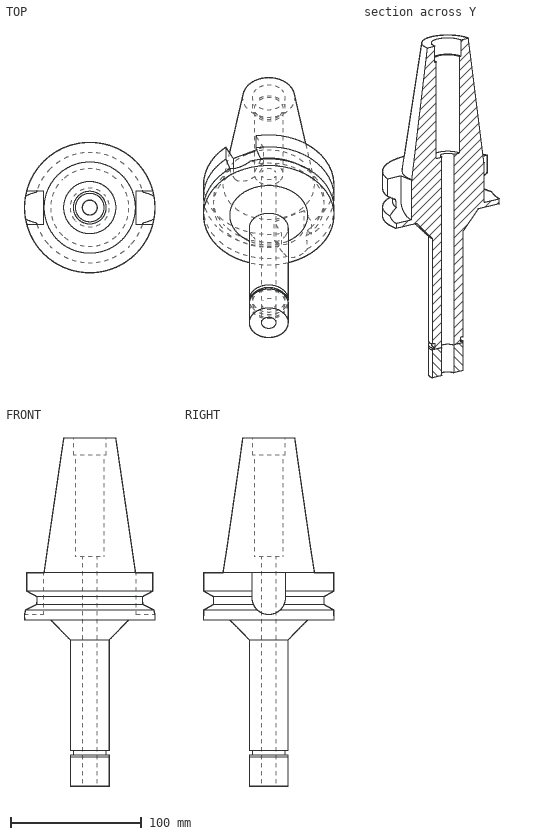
import cadquery as cq

TOTAL_HEIGHT = 266.8
TAPER_BASE_Z = 165.0
TAPER_TOP_RADIUS = 20.0
TAPER_BASE_RADIUS = 35.0

FLANGE_RADIUS = 50.02
FLANGE_TOP_Z = 163.5
FLANGE_BOTTOM_Z = 127.3
GRIPPER_GROOVE_RADIUS = 42.5
GRIPPER_GROOVE_MOUTH_TOP_Z = 149.5
GRIPPER_GROOVE_MOUTH_BOTTOM_Z = 135.0
GRIPPER_GROOVE_BEVEL_HEIGHT = 4.3

SLOT_WIDTH = 25.5
SLOT_FLOOR_X = 35.5
SLOT_BOTTOM_Z = 131.5

SHANK_RADIUS = 15.0
CONE_TOP_RADIUS = 30.0
CONE_BOTTOM_Z = 112.0
NECK_RADIUS = 12.5
NECK_TOP_Z = 27.2
NECK_BOTTOM_Z = 24.0

NUT_HEIGHT = 22.5
NUT_RADIUS = SHANK_RADIUS

COUNTERBORE_RADIUS = 12.5
COUNTERBORE_DEPTH = 13.0
THREAD_BORE_RADIUS = 11.0
THREAD_BORE_DEPTH = 90.7
THROUGH_BORE_RADIUS = 5.5


def make_holder_blank():
    """Revolve the solid outline of taper, flange, cone and shank."""
    outline = [
        (0, NUT_HEIGHT),
        (SHANK_RADIUS, NUT_HEIGHT),
        (SHANK_RADIUS, NECK_BOTTOM_Z),
        (NECK_RADIUS, NECK_BOTTOM_Z),
        (NECK_RADIUS, NECK_TOP_Z),
        (SHANK_RADIUS, NECK_TOP_Z),
        (SHANK_RADIUS, CONE_BOTTOM_Z),
        (CONE_TOP_RADIUS, FLANGE_BOTTOM_Z),
        (FLANGE_RADIUS, FLANGE_BOTTOM_Z),
        (FLANGE_RADIUS, GRIPPER_GROOVE_MOUTH_BOTTOM_Z),
        (GRIPPER_GROOVE_RADIUS, GRIPPER_GROOVE_MOUTH_BOTTOM_Z + GRIPPER_GROOVE_BEVEL_HEIGHT),
        (GRIPPER_GROOVE_RADIUS, GRIPPER_GROOVE_MOUTH_TOP_Z - GRIPPER_GROOVE_BEVEL_HEIGHT),
        (FLANGE_RADIUS, GRIPPER_GROOVE_MOUTH_TOP_Z),
        (FLANGE_RADIUS, FLANGE_TOP_Z),
        (TAPER_BASE_RADIUS, FLANGE_TOP_Z),
        (TAPER_BASE_RADIUS, TAPER_BASE_Z),
        (TAPER_TOP_RADIUS, TOTAL_HEIGHT),
        (0, TOTAL_HEIGHT),
    ]
    return cq.Workplane("XZ").polyline(outline).close().revolve(360, (0, 0), (0, 1))


def make_drive_slot(side):
    """Round-bottomed slot cutter; side is +1 or -1 along X."""
    half_width = SLOT_WIDTH / 2
    arc_center_z = SLOT_BOTTOM_Z + half_width
    return (
        cq.Workplane("YZ", origin=(side * SLOT_FLOOR_X, 0, 0))
        .moveTo(-half_width, FLANGE_TOP_Z)
        .lineTo(-half_width, arc_center_z)
        .threePointArc((0, SLOT_BOTTOM_Z), (half_width, arc_center_z))
        .lineTo(half_width, FLANGE_TOP_Z)
        .close()
        .extrude(side * FLANGE_RADIUS)
    )


def make_bore(radius, bottom_z):
    """Axial bore cutter from the top of the taper down to bottom_z."""
    return cq.Workplane("XY", origin=(0, 0, bottom_z)).circle(radius).extrude(TOTAL_HEIGHT - bottom_z)


def make_holder():
    holder = make_holder_blank()
    for side in (-1, 1):
        holder = holder.cut(make_drive_slot(side))
    holder = holder.cut(make_bore(COUNTERBORE_RADIUS, TOTAL_HEIGHT - COUNTERBORE_DEPTH))
    holder = holder.cut(make_bore(THREAD_BORE_RADIUS, TOTAL_HEIGHT - THREAD_BORE_DEPTH))
    return holder.cut(make_bore(THROUGH_BORE_RADIUS, NUT_HEIGHT))


def make_nut():
    return cq.Workplane("XY").circle(NUT_RADIUS).circle(THROUGH_BORE_RADIUS).extrude(NUT_HEIGHT)


holder = make_holder()
nut = make_nut()
result = cq.Compound.makeCompound([holder.val(), nut.val()])